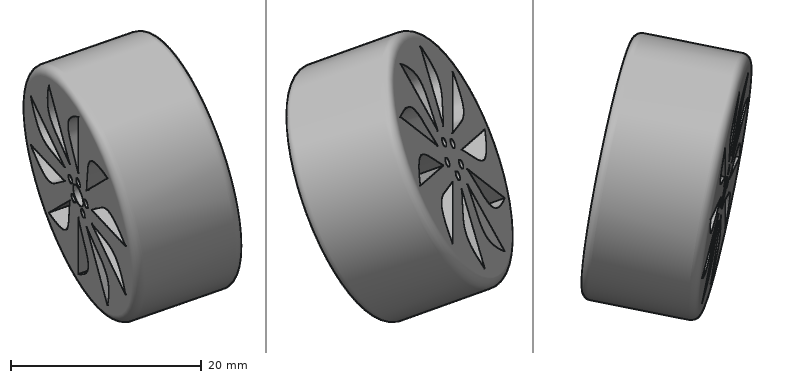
import cadquery as cq

wheel_diameter = 28.65
wheel_width = 12.6
edge_radius = 1.0

bore_diameter = 2.45
bore_depth = 6.3

bolt_count = 5
bolt_diameter = 1.0
bolt_circle_diameter = 4.0

window_count = 10
window_inner_radius = 3.5
window_outer_radius = 12.32
bulge_radius = 8.75
bulge_offset = 2.5
flank_radius = 5.9
flank_offset = 1.5
shoulder_radius = 11.0
shoulder_offset = 1.35


def face_sketch_plane():
    """Plane on the outer face: local x is +X, local y is +Z, normal is -Y."""
    return cq.Workplane("XZ", origin=(0, -wheel_width / 2, 0))


def make_wheel_body():
    body = face_sketch_plane().circle(wheel_diameter / 2).extrude(-wheel_width)
    return body.edges("%CIRCLE").fillet(edge_radius)


def make_window_cutter():
    """Cutter for the topmost window, running through the whole width."""
    curved_side = [
        (0, window_inner_radius),
        (-flank_offset, flank_radius),
        (-bulge_offset, bulge_radius),
        (-shoulder_offset, shoulder_radius),
        (0, window_outer_radius),
    ]
    return (
        face_sketch_plane()
        .spline(curved_side)
        .close()
        .extrude(-wheel_width)
    )


def make_bolt_hole_cutter():
    """Cutter for the topmost bolt hole, running through the whole width."""
    return (
        face_sketch_plane()
        .center(0, bolt_circle_diameter / 2)
        .circle(bolt_diameter / 2)
        .extrude(-wheel_width)
    )


def cut_around_axis(body, cutter, count):
    """Cut equally spaced copies of the cutter around the wheel axis."""
    for index in range(count):
        body = body.cut(cutter.rotate((0, 0, 0), (0, 1, 0), index * 360 / count))
    return body


result = make_wheel_body()
result = cut_around_axis(result, make_window_cutter(), window_count)
result = cut_around_axis(result, make_bolt_hole_cutter(), bolt_count)
result = result.cut(face_sketch_plane().circle(bore_diameter / 2).extrude(-bore_depth))